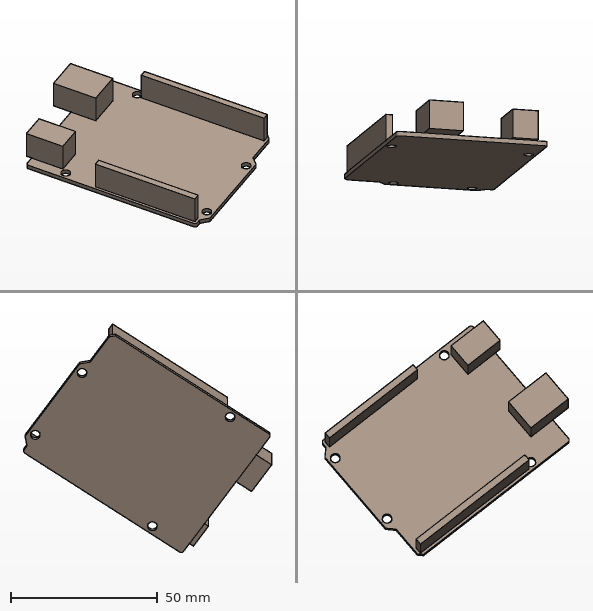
import cadquery as cq

board_length = 68.6
board_width = 53.3
board_thickness = 1.6
tab_depth = 2.6
shoulder_x = board_length - tab_depth
tab_bottom_y = 5.1
tab_top_y = 37.85
corner_radius = 1.0
top_right_chamfer = 1.5

hole_diameter = 3.25
hole_centers = [
    (14.0, 2.6),
    (15.3, 50.8),
    (shoulder_x, 7.6),
    (shoulder_x, 35.5),
]

connector_height = 10.0

usb_overhang = 6.8
usb_length = 16.45
usb_width = 12.1
usb_y = 31.8

jack_overhang = 2.0
jack_length = 14.2
jack_width = 9.05
jack_y = 3.9

header_width = 2.35
header_end_x = 65.1
long_header_length = 47.7
long_header_y = 50.0
short_header_length = 38.7
short_header_y = 1.0


def make_board():
    """Board outline with three rounded corners, one chamfered corner and a sloped tab, drilled through."""
    outline = [
        (0, 0),
        (shoulder_x, 0),
        (shoulder_x, tab_bottom_y - tab_depth),
        (board_length, tab_bottom_y),
        (board_length, tab_top_y),
        (shoulder_x, tab_top_y + tab_depth),
        (shoulder_x, board_width - top_right_chamfer),
        (shoulder_x - top_right_chamfer, board_width),
        (0, board_width),
    ]
    board = cq.Workplane("XY").polyline(outline).close().extrude(board_thickness)
    for corner in [(0, 0), (shoulder_x, 0), (0, board_width)]:
        corner_middle = (*corner, board_thickness / 2)
        nearest_edge = cq.selectors.NearestToPointSelector(corner_middle)
        board = board.edges(nearest_edge).fillet(corner_radius)
    holes = (
        cq.Workplane("XY")
        .pushPoints(hole_centers)
        .circle(hole_diameter / 2)
        .extrude(board_thickness)
    )
    return board.cut(holes)


def make_connector(x, y, length, width):
    """Rectangular block standing on the board, placed by its lower left corner."""
    block = cq.Workplane("XY").box(length, width, connector_height, centered=False)
    return block.translate((x, y, board_thickness))


usb_socket = make_connector(-usb_overhang, usb_y, usb_length, usb_width)
power_jack = make_connector(-jack_overhang, jack_y, jack_length, jack_width)
long_header = make_connector(
    header_end_x - long_header_length, long_header_y, long_header_length, header_width
)
short_header = make_connector(
    header_end_x - short_header_length, short_header_y, short_header_length, header_width
)

result = make_board()
for connector in (usb_socket, power_jack, long_header, short_header):
    result = result.union(connector)